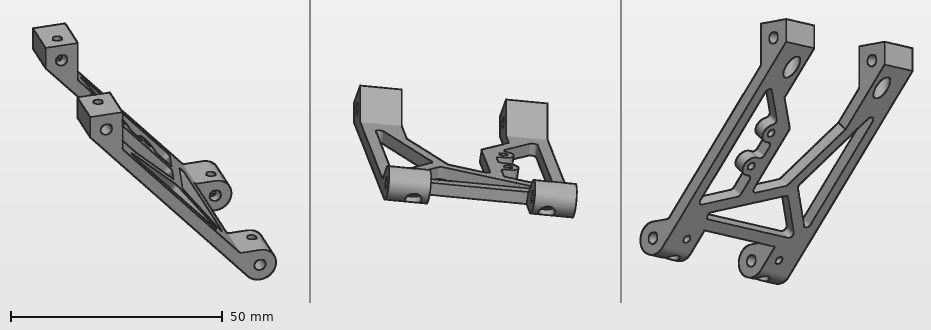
import cadquery as cq
import math

width = 45.0
depth = 46.0
height = 51.0

arm_width = 10.0
eye_diameter = 8.0
pivot_bore_diameter = 2.8
crook_radius = 1.0

screw_x = 16.0
screw_diameter = 2.25
screw_head_diameter = 4.0
screw_head_below_pivot = 2.0

plate_thickness = 3.0
rib_width = 3.0
corner_radius = 1.0

main_rib = ((0, 19.05), 22.8)
low_right_rib = ((7.15, 22.25), -45.4)
high_right_rib = ((7.1, 24.2), 66.3)
high_left_rib = ((-10.2, 40.35), -45.0)
post_rib = ((-6.5, 0), 90.0)

lug_x = -10.0
lug_radius = 2.5
lug_hole_diameter = 2.0
lower_lug_along = 25.55
upper_lug_along = 35.05

pin_x = 16.35
pin_along = 3.45
pin_diameter = 2.0

eye_radius = eye_diameter / 2
pivot_run = depth - eye_diameter
pivot_rise = height - eye_diameter
pivot_span = math.hypot(pivot_run, pivot_rise)
run_part = pivot_run / pivot_span
rise_part = pivot_rise / pivot_span
slope_angle = math.atan2(pivot_rise, pivot_run)
plate_bottom = eye_radius
plate_top = plate_bottom - plate_thickness

half_width = width / 2
gap_half = half_width - arm_width
half_rib = rib_width / 2

slope_plane = cq.Plane(origin=(0, 0, 0), xDir=(1, 0, 0), normal=(0, -rise_part, -run_part))


def slope_point(along, below):
    """(Y, Z) of a point on the slope, a distance below the line through the pivots."""
    return (-along * run_part - below * rise_part, along * rise_part - below * run_part)


eye_crook = (eye_radius + plate_top * run_part) / rise_part
block_crook = (pivot_run - eye_radius - plate_top * rise_part) / run_part
block_face_low = (pivot_run + eye_radius - plate_bottom * rise_part) / run_part

cross_bar_low = eye_crook + crook_radius * math.tan(slope_angle / 2)
cross_bar_high = cross_bar_low + rib_width


def rib_edge(rib, side):
    """Edge line of a rib: side +1 is left of its direction, -1 right, 0 its centre line."""
    (x, along), angle = rib
    turn = math.radians(angle)
    shift = side * half_rib
    return ((x - shift * math.sin(turn), along + shift * math.cos(turn)), angle)


def meet(line_a, line_b):
    """Crossing point of two lines."""
    (xa, ya), angle_a = line_a
    (xb, yb), angle_b = line_b
    ca, sa = math.cos(math.radians(angle_a)), math.sin(math.radians(angle_a))
    cb, sb = math.cos(math.radians(angle_b)), math.sin(math.radians(angle_b))
    reach = ((xb - xa) * sb - (yb - ya) * cb) / (ca * sb - sa * cb)
    return (xa + reach * ca, ya + reach * sa)


def upright(x):
    return ((x, 0), 90.0)


def level(along):
    return ((0, along), 0.0)


def flat_prism(points):
    """Prism through the plate thickness, in flat (x, along, below) coordinates."""
    return cq.Workplane("XY", origin=(0, 0, plate_top)).polyline(points).close().extrude(plate_thickness)


def flat_disc(x, along, radius):
    return cq.Workplane("XY", origin=(x, along, plate_top)).circle(radius).extrude(plate_thickness)


def on_slope(flat):
    """Move a flat body onto the sloping plate."""
    return cq.Workplane(flat.val().moved(cq.Location(slope_plane)))


def make_arm(left_x):
    profile = (
        cq.Workplane("YZ", origin=(left_x, 0, 0))
        .moveTo(0, eye_radius)
        .lineTo(*slope_point(eye_crook, plate_top))
        .lineTo(*slope_point(block_crook, plate_top))
        .lineTo(eye_radius - pivot_run, pivot_rise + eye_radius)
        .lineTo(-eye_radius - pivot_run, pivot_rise + eye_radius)
        .lineTo(*slope_point(block_face_low, plate_bottom))
        .lineTo(*slope_point(0, plate_bottom))
        .threePointArc(slope_point(-eye_radius, 0), (0, eye_radius))
        .close()
    )
    arm = profile.extrude(arm_width)
    middle_x = left_x + arm_width / 2
    for along in (eye_crook, block_crook):
        crook = cq.selectors.NearestToPointSelector((middle_x, *slope_point(along, plate_top)))
        arm = arm.edges(crook).fillet(crook_radius)
    return arm


def make_web():
    """Plate between the arms, with the open notch above the ribs."""
    left_start = meet(upright(-gap_half), rib_edge(high_left_rib, 1))
    right_start = meet(upright(gap_half), rib_edge(high_right_rib, 1))
    web_high = max(left_start[1], right_start[1])
    notch_high = 2 * height
    notch = flat_prism([
        (-half_width, notch_high),
        meet(upright(-half_width), rib_edge(high_left_rib, 1)),
        meet(rib_edge(high_left_rib, 1), rib_edge(post_rib, -1)),
        meet(rib_edge(post_rib, -1), rib_edge(main_rib, 1)),
        meet(rib_edge(main_rib, 1), rib_edge(high_right_rib, 1)),
        meet(upright(half_width), rib_edge(high_right_rib, 1)),
        (half_width, notch_high),
    ]).edges("|Z").fillet(corner_radius)
    web = flat_prism([
        (-gap_half, cross_bar_low),
        (gap_half, cross_bar_low),
        (gap_half, web_high),
        (-gap_half, web_high),
    ])
    return web.cut(notch)


def make_lug(along):
    """Round lug with a straight neck reaching the post, and concave fillets at the neck."""
    post_face = rib_edge(post_rib, 1)[0][0]
    lug = flat_disc(lug_x, along, lug_radius)
    flare = lug_radius + corner_radius
    neck = flat_prism([
        (lug_x, along - lug_radius),
        (post_face - corner_radius, along - lug_radius),
        (post_face - corner_radius, along - flare),
        (post_face, along - flare),
        (post_face, along + flare),
        (post_face - corner_radius, along + flare),
        (post_face - corner_radius, along + lug_radius),
        (lug_x, along + lug_radius),
    ])
    for side in (-1, 1):
        neck = neck.cut(flat_disc(post_face - corner_radius, along + side * flare, corner_radius))
    return lug.union(neck)


def make_lug_gusset():
    """Material between the upper lug and the high left rib, ended by a tangent concave arc."""
    (x, along), angle = rib_edge(high_left_rib, -1)
    turn = math.radians(angle)
    across = (-math.sin(turn), math.cos(turn))
    to_edge = (x - lug_x) * across[0] + (along - upper_lug_along) * across[1]
    off_axis = to_edge - corner_radius
    back = math.sqrt((lug_radius + corner_radius) ** 2 - off_axis ** 2)
    arc_centre = (
        lug_x + off_axis * across[0] - back * math.cos(turn),
        upper_lug_along + off_axis * across[1] - back * math.sin(turn),
    )
    arc_foot = (arc_centre[0] + corner_radius * across[0], arc_centre[1] + corner_radius * across[1])
    post_corner = meet(rib_edge(high_left_rib, -1), rib_edge(post_rib, 1))
    gusset = flat_prism([
        (lug_x, upper_lug_along),
        arc_centre,
        arc_foot,
        post_corner,
        (post_corner[0], upper_lug_along),
    ])
    return gusset.cut(flat_disc(*arc_centre, corner_radius))


def make_windows():
    outer_left = upright(rib_width - half_width)
    outer_right = upright(half_width - rib_width)
    left_window = flat_prism([
        meet(outer_left, rib_edge(main_rib, 1)),
        meet(rib_edge(main_rib, 1), rib_edge(post_rib, 1)),
        meet(rib_edge(post_rib, 1), rib_edge(high_left_rib, -1)),
        meet(rib_edge(high_left_rib, -1), outer_left),
    ]).edges("|Z").fillet(corner_radius)
    for along in (lower_lug_along, upper_lug_along):
        left_window = left_window.cut(make_lug(along))
    left_window = left_window.cut(make_lug_gusset())
    right_window = flat_prism([
        meet(outer_right, rib_edge(low_right_rib, 1)),
        meet(rib_edge(low_right_rib, 1), rib_edge(high_right_rib, -1)),
        meet(rib_edge(high_right_rib, -1), outer_right),
    ]).edges("|Z").fillet(corner_radius)
    low_window = flat_prism([
        meet(level(cross_bar_high), rib_edge(main_rib, -1)),
        meet(level(cross_bar_high), rib_edge(low_right_rib, -1)),
        meet(rib_edge(low_right_rib, -1), rib_edge(main_rib, -1)),
    ]).edges("|Z").fillet(corner_radius)
    return [left_window, right_window, low_window]


def make_plate_holes():
    lug_alongs = (lower_lug_along, upper_lug_along)
    lug_holes = [flat_disc(lug_x, along, lug_hole_diameter / 2) for along in lug_alongs]
    pin_holes = [flat_disc(x, pin_along, pin_diameter / 2) for x in (-pin_x, pin_x)]
    return lug_holes + pin_holes


def make_pivot_bore(y, z):
    bore = cq.Workplane("YZ", origin=(-half_width, y, z)).circle(pivot_bore_diameter / 2)
    return bore.extrude(width)


def make_screw_hole(x, y, z):
    """Vertical hole through a pivot, counterbored from below."""
    hole = cq.Workplane("XY", origin=(x, y, z - height)).circle(screw_diameter / 2).extrude(2 * height)
    head = cq.Workplane("XY", origin=(x, y, z - screw_head_below_pivot)).circle(screw_head_diameter / 2)
    return hole.union(head.extrude(-height))


result = make_arm(-half_width).union(make_arm(gap_half)).union(on_slope(make_web()))
for opening in make_windows() + make_plate_holes():
    result = result.cut(on_slope(opening))
for pivot_y, pivot_z in ((0, 0), (-pivot_run, pivot_rise)):
    result = result.cut(make_pivot_bore(pivot_y, pivot_z))
    for hole_x in (-screw_x, screw_x):
        result = result.cut(make_screw_hole(hole_x, pivot_y, pivot_z))